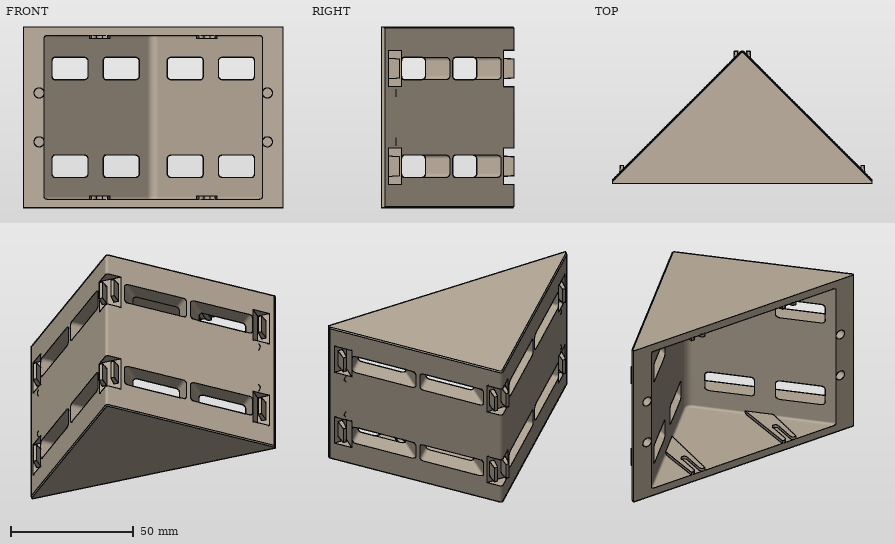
import cadquery as cq

width = 106.3
height = 74.0
half_width = width / 2
half_height = height / 2

outer_reach = 54.6
inner_reach = 44.6
ridge_radius = 1.0
cavity_ridge_radius = 3.0
plate_thickness = 3.5
cavity_floor_radius = 1.0
plate_chamfer = 0.5

slot_height = 9.0
slot_top_x = 5.7
slot_width_x = 14.7
slot_pitch_x = 20.9
slot_corner_radius = 1.5

row_z = 20.0
bore_z = 10.0
bore_x = 46.6
bore_diameter = 4.1
bore_depth = 6.0

notch_height = 14.8
ridge_notch_floor = 49.9
foot_notch_floor = 2.9
foot_notch_x = 46.4
tab_height = 8.4
ridge_tab_x = 2.5
ridge_tab_width = 2.0
ridge_tab_rise = 4.3
foot_tab_x = 49.2
foot_tab_width = 2.0
foot_tab_rise = 4.6
tab_draft = 4.0

pad_x = 22.0
pad_thickness = 1.3
pad_front_width = 6.6
pad_length = 27.5
pad_side_slope = 0.04
pad_slot_width = 2.5
pad_slot_depth = 10.6
pad_mouth_radius = 1.3

cut_overrun = 2.1
select_margin = 0.1

sides = (-1, 1)
rows = (-row_z, row_z)
cavity_half_height = half_height - plate_thickness


def prism(points, z_size, z_center=0.0):
    """Extrude a closed XY outline symmetrically about z_center."""
    outline = cq.Workplane("XY").workplane(offset=z_center - z_size / 2).polyline(points).close()
    return outline.extrude(z_size)


def make_wedge():
    """Outer block with a rounded ridge and chamfered sloping plate edges."""
    corner_y = outer_reach - half_width
    wedge = prism(
        [
            (-half_width, 0),
            (half_width, 0),
            (half_width, corner_y),
            (0, outer_reach),
            (-half_width, corner_y),
        ],
        height,
    )
    wedge = wedge.edges("|Z and >Y").fillet(ridge_radius)
    sloping_edges = cq.selectors.BoxSelector(
        (-half_width + select_margin, corner_y + select_margin, -height),
        (half_width - select_margin, outer_reach, height),
    )
    rim = wedge.faces("<Z or >Z").edges(sloping_edges)
    return rim.chamfer(plate_chamfer)


def make_cavity():
    """Hollow between the walls, rounded everywhere except at the front opening."""
    cavity = prism(
        [(-inner_reach, 0), (inner_reach, 0), (0, inner_reach)],
        2 * cavity_half_height,
    )
    cavity = cavity.edges("|Z and >Y").fillet(cavity_ridge_radius)
    return cavity.faces("<Z or >Z").edges("not <Y").fillet(cavity_floor_radius)


def make_slot(side, top_x, z):
    """Wall slot: the end near the ridge runs along Y, the other is square to the wall."""
    low_x = top_x + slot_width_x
    low_y = inner_reach - low_x
    inner_step = cut_overrun / 2
    outer_step = (outer_reach - inner_reach + cut_overrun) / 2
    slot = prism(
        [
            (side * top_x, inner_reach - cut_overrun - top_x),
            (side * top_x, outer_reach + cut_overrun - top_x),
            (side * (low_x + outer_step), low_y + outer_step),
            (side * (low_x - inner_step), low_y - inner_step),
        ],
        slot_height,
        z,
    )
    square_end = cq.selectors.ParallelDirSelector(cq.Vector(side, 1, 0))
    return slot.edges("|Y").fillet(slot_corner_radius).edges(square_end).fillet(slot_corner_radius)


def make_bore(side, z):
    """Blind screw bore entering from the front face."""
    front = cq.Workplane("XZ").center(side * bore_x, z)
    return front.circle(bore_diameter / 2).extrude(-bore_depth)


def make_ridge_notch(z):
    """Cut that removes the ridge down to a flat floor."""
    reach = outer_reach - ridge_notch_floor + cut_overrun
    return prism(
        [
            (-reach, ridge_notch_floor),
            (reach, ridge_notch_floor),
            (reach, ridge_notch_floor + reach),
            (-reach, ridge_notch_floor + reach),
        ],
        notch_height,
        z,
    )


def make_foot_notch(side, z):
    """Step cut into the outer face of a wall near its front edge."""
    outer_x = half_width + cut_overrun
    top_y = outer_reach - foot_notch_x + cut_overrun
    return prism(
        [
            (side * foot_notch_x, foot_notch_floor),
            (side * outer_x, foot_notch_floor),
            (side * outer_x, top_y),
            (side * foot_notch_x, top_y),
        ],
        notch_height,
        z,
    )


def make_tab(x, z, floor_y, tab_width, rise):
    """Drafted tab standing on a notch floor and pointing toward +Y."""
    base = cq.Workplane("XZ", origin=(0, floor_y, 0)).center(x, z)
    return base.rect(tab_width, tab_height).extrude(-rise, taper=tab_draft)


def make_pad(side, end):
    """Tapered pad on a plate, with a slot open to the front and a rounded slot mouth."""
    front_half = pad_front_width / 2
    back_half = front_half + pad_side_slope * pad_length
    z = end * (cavity_half_height - pad_thickness / 2)
    pad = prism(
        [
            (side * pad_x - front_half, 0),
            (side * pad_x + front_half, 0),
            (side * pad_x + back_half, pad_length),
            (side * pad_x - back_half, pad_length),
        ],
        pad_thickness,
        z,
    )
    slot_half = pad_slot_width / 2
    slot = (
        cq.Workplane("XY")
        .workplane(offset=z - pad_thickness / 2)
        .center(side * pad_x, 0)
        .moveTo(-slot_half, 0)
        .lineTo(-slot_half, pad_slot_depth)
        .threePointArc((0, pad_slot_depth + slot_half), (slot_half, pad_slot_depth))
        .lineTo(slot_half, 0)
        .close()
        .extrude(pad_thickness)
    )
    mouth = cq.selectors.BoxSelector(
        (side * pad_x - slot_half - select_margin, -select_margin, -height),
        (side * pad_x + slot_half + select_margin, select_margin, height),
    )
    return pad.cut(slot).edges("|Z").edges(mouth).fillet(pad_mouth_radius)


result = make_wedge().cut(make_cavity())

for z in rows:
    result = result.cut(make_ridge_notch(z))
    for side in sides:
        for top_x in (slot_top_x, slot_top_x + slot_pitch_x):
            result = result.cut(make_slot(side, top_x, z))
        result = result.cut(make_foot_notch(side, z))
        ridge_tab = make_tab(side * ridge_tab_x, z, ridge_notch_floor, ridge_tab_width, ridge_tab_rise)
        foot_tab = make_tab(side * foot_tab_x, z, foot_notch_floor, foot_tab_width, foot_tab_rise)
        result = result.union(ridge_tab).union(foot_tab)

for side in sides:
    for end in (-1, 1):
        result = result.cut(make_bore(side, end * bore_z))
        result = result.union(make_pad(side, end))